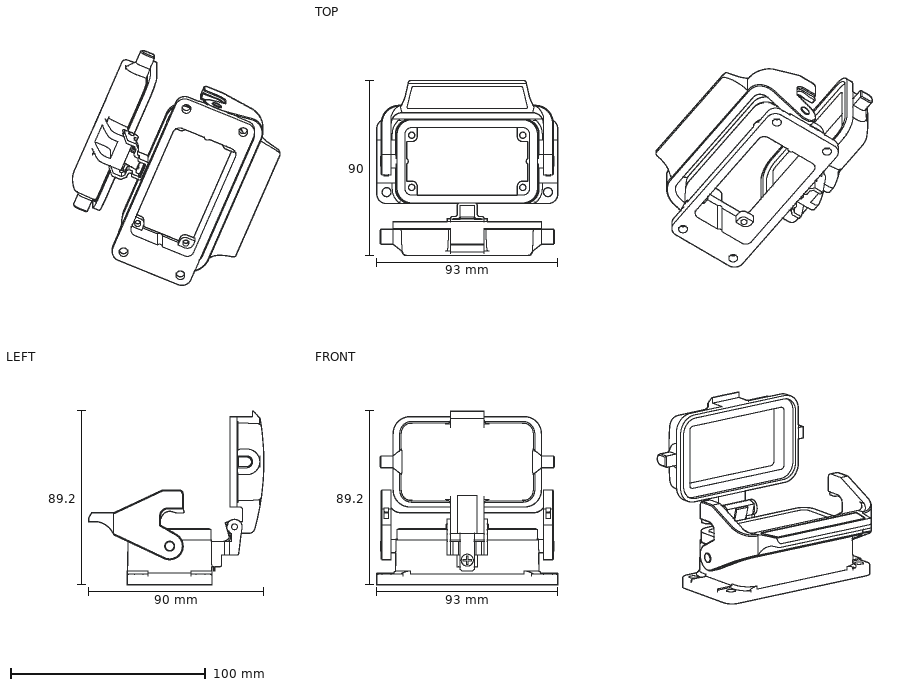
import cadquery as cq
import math

FLANGE_X = 93.0
FLANGE_Y = 43.5
FLANGE_TOP = 5.5
FLANGE_CORNER_R = 5.1
FLANGE_EDGE_R = 0.9
PAD_TOP = 6.2
PAD_HALF_Y = 11.0
PAD_EDGE_R = 0.6
FLANGE_HOLE_D = 4.5
FLANGE_HOLE_X = 41.4
FLANGE_HOLE_Y = 15.8

WALL_HALF_X = 36.9
WALL_HALF_Y = 21.7
WALL_TOP = 23.1
WALL_DRAFT = 1.0
WALL_CORNER_R = 7.7
SKIRT_TOP = 7.2
SKIRT_WIDTH = 1.6

RIM_HALF_X = 36.0
RIM_HALF_Y = 21.3
RIM_CORNER_R = 7.5
RIM_TOP = 29.0
RIM_EDGE = 28.35
RIM_WIDTH = 4.0

OPENING_HALF_X = RIM_HALF_X - RIM_WIDTH
OPENING_HALF_Y = RIM_HALF_Y - RIM_WIDTH
OPENING_CORNER_R = RIM_CORNER_R - RIM_WIDTH
LEDGE = 1.0
TAB_TOP = 20.7
TAB_THICKNESS = 5.3
TAB_HALF_X = 25.6
TAB_HALF_Y = 10.1
TAB_CORNER_R = 2.8
TAB_HOLE_D = 3.1
TAB_HOLE_X = 28.5
TAB_HOLE_Y = 13.4
KEY_R = 1.6
KEY_REACH = 30.2

PIVOT_Z = 19.9
PIVOT_PIN_D = 5.1
PIVOT_PIN_END = 44.6
PIVOT_PIN_CHAMFER = 0.3
PIVOT_BOSS_D = 7.0
ARM_INNER_X = 39.0
ARM_OUTER_X = 44.2
ARM_END_R = 7.0
ARM_EDGE_CHAMFER = 0.5
BAR_INNER_Y = 24.9
BAR_OUTER_Y = 28.8
BAR_BOTTOM = 25.9
BEND_Y = 19.4
BAR_HALF_X = ARM_INNER_X - BAR_INNER_Y + BEND_Y
HANDLE_TOP = 37.1
HANDLE_TIP_Y = 41.6
HANDLE_TIP_HALF_X = 30.0
HANDLE_ROOT_HALF_X = 34.3
HANDLE_UNDER = 32.4
HANDLE_CORNER_R = 1.6
HANDLE_RECESS = 0.3
HANDLE_RECESS_R = 0.9
ARM_TOP = 48.8
ARM_TOP_REAR_Y = 3.5
ARM_TOP_R = 2.3
HOOK_FRONT_Y = -7.0
HOOK_UNDER = 39.0
HOOK_TIP_R = 0.7
SLOT_BACK_Y = 4.7
SLOT_FOOT_Z = 30.7
LIP_UNDER = 36.8
LIP_INNER_X = 40.3
LIP_OUTER_X = 42.7

LID_BACK_Y = -30.9
LID_RIM_Y = -34.5
LID_FACE_Y = -48.4
LID_Z = 63.15
LID_RIM_HALF_X = 38.1
LID_RIM_HALF_Z = 23.25
LID_RIM_CORNER_R = 8.8
LID_BODY_HALF_X = 33.9
LID_BODY_HALF_Z = 20.0
LID_BODY_CORNER_R = 5.5
LID_BODY_DRAFT = 2.0
LID_FACE_EDGE_R = 2.2
BEAD_WIDTH = 0.75
BEAD_DEPTH = 0.5
CROWN_R = 130.0
LID_CLEARANCE = 0.2
LID_RECESS_DEPTH = 2.2
LID_WALL = 3.4

STRAP_HALF_X = 8.6
STRAP_BLEND_R = 2.5
LATCH_TOP = 89.23
LATCH_Y = -42.4
STRAP_BOTTOM = 26.4
STRAP_INNER_Y = -37.3
STRAP_POCKET_HALF_X = 4.9
STRAP_POCKET_TOP = 46.0
STRAP_POCKET_FLOOR_Y = -38.6
STRAP_POCKET_R = 4.0
TRUNNION_Y = -39.5
TRUNNION_R = 3.05
TRUNNION_CHAMFER = 0.6
TRUNNION_BACK_Y = -34.8
TRUNNION_END = 44.8
COLLAR_R = 6.9

HINGE_Y = -33.3
HINGE_Z = 29.8
HINGE_PIN_D = 3.0
HINGE_PIN_END = 10.9
HINGE_PIN_END_R = 0.55
EAR_R = 3.9
EAR_OUTER_X = 10.3
EAR_BACK_Y = -31.7
EAR_FRONT_Y = -35.4
BRACKET_TOP = 22.3
BRACKET_BOTTOM = 9.3
WING_Y = -28.2
WING_SHEET = 1.3
WING_BOTTOM = 15.3
BRACKET_CORNER_R = 1.0
CHANNEL_END_Y = -26.7
CHANNEL_HALF_X = 5.2
CHANNEL_INNER_X = 3.7
CHANNEL_BACK_Y = -21.4
CHANNEL_FLOOR_Y = -22.6
SPRING_HALF_X = 3.6
SPRING_SHEET = 0.8
SPRING_BOTTOM = 7.2
SPRING_CORNER = 0.8
SCREW_Z = 12.7
SCREW_HEAD_D = 6.2
SCREW_HEAD_FRONT_Y = -25.4
SCREW_HEAD_R = 1.0
CROSS_LENGTH = 4.4
CROSS_WIDTH = 0.9
CROSS_DEPTH = 1.0

SIDES = (-1, 1)


def plate(half_x, half_y, corner_r, bottom, top, draft=0):
    """Horizontal rounded rectangle, drafted inwards towards its top."""
    outline = cq.Sketch().rect(2 * half_x, 2 * half_y).vertices().fillet(corner_r)
    return (cq.Workplane("XY", origin=(0, 0, bottom))
            .placeSketch(outline).extrude(top - bottom, taper=draft))


def upright_plate(half_x, half_z, corner_r, back_y, front_y, draft=0):
    """Rounded rectangle facing -Y at the lid centre height."""
    outline = cq.Sketch().rect(2 * half_x, 2 * half_z).vertices().fillet(corner_r)
    return (cq.Workplane("XZ", origin=(0, back_y, LID_Z))
            .placeSketch(outline).extrude(back_y - front_y, taper=draft))


def block(x0, x1, y0, y1, z0, z1):
    """Box between two opposite corners."""
    return (cq.Workplane("XY")
            .box(abs(x1 - x0), abs(y1 - y0), abs(z1 - z0))
            .translate(((x0 + x1) / 2, (y0 + y1) / 2, (z0 + z1) / 2)))


def rod_x(diameter, x0, x1, y, z):
    """Round bar along X."""
    low, high = min(x0, x1), max(x0, x1)
    return cq.Workplane("YZ", origin=(low, y, z)).circle(diameter / 2).extrude(high - low)


def mirrored(half):
    """A shape together with its mirror image across X = 0."""
    return half.union(half.mirror("YZ"))


def housing_flange():
    flange = plate(FLANGE_X / 2, FLANGE_Y / 2, FLANGE_CORNER_R, 0, FLANGE_TOP)
    flange = flange.faces(">Z").edges().fillet(FLANGE_EDGE_R)
    pads = block(-FLANGE_X / 2, FLANGE_X / 2, -PAD_HALF_Y, PAD_HALF_Y, 0, PAD_TOP)
    pads = pads.edges("|Y and >Z").fillet(PAD_EDGE_R)
    sill_x = WALL_HALF_X - WALL_CORNER_R / 2
    sill = block(-sill_x, sill_x, -FLANGE_Y / 2, FLANGE_Y / 2, 0, FLANGE_TOP)
    return flange.union(pads).union(sill)


def housing_wall():
    wall = plate(WALL_HALF_X, WALL_HALF_Y, WALL_CORNER_R, FLANGE_TOP - 0.5, WALL_TOP, WALL_DRAFT)
    skirt_height = SKIRT_TOP - FLANGE_TOP
    skirt_angle = math.degrees(math.atan(SKIRT_WIDTH / skirt_height))
    skirt = plate(WALL_HALF_X + SKIRT_WIDTH, WALL_HALF_Y + SKIRT_WIDTH, WALL_CORNER_R + SKIRT_WIDTH,
                  FLANGE_TOP, SKIRT_TOP, skirt_angle)
    skirt = skirt.intersect(plate(FLANGE_X / 2, FLANGE_Y / 2, FLANGE_CORNER_R, 0, SKIRT_TOP))
    skirt = skirt.cut(block(-FLANGE_X, FLANGE_X, -PAD_HALF_Y, PAD_HALF_Y, 0, SKIRT_TOP))
    straight_x = WALL_HALF_X - WALL_CORNER_R
    skirt = skirt.cut(block(-straight_x, straight_x, -FLANGE_Y, FLANGE_Y, 0, SKIRT_TOP))
    rim = plate(RIM_HALF_X, RIM_HALF_Y, RIM_CORNER_R, WALL_TOP, RIM_EDGE)
    return wall.union(skirt).union(rim)


def rim_crown():
    """Shallow dome that runs along the top of the rim."""
    path_x = RIM_HALF_X - RIM_WIDTH / 2
    path_y = RIM_HALF_Y - RIM_WIDTH / 2
    path_r = RIM_CORNER_R - RIM_WIDTH / 2
    path = (cq.Workplane("XY", origin=(0, 0, RIM_EDGE))
            .moveTo(path_x, 0)
            .lineTo(path_x, path_y - path_r)
            .tangentArcPoint((path_x - path_r, path_y), relative=False)
            .lineTo(path_r - path_x, path_y)
            .tangentArcPoint((-path_x, path_y - path_r), relative=False)
            .lineTo(-path_x, path_r - path_y)
            .tangentArcPoint((path_r - path_x, -path_y), relative=False)
            .lineTo(path_x - path_r, -path_y)
            .tangentArcPoint((path_x, path_r - path_y), relative=False)
            .close())
    dome = (cq.Workplane("XZ")
            .moveTo(OPENING_HALF_X, RIM_EDGE)
            .threePointArc((path_x, RIM_TOP), (RIM_HALF_X, RIM_EDGE))
            .close())
    return dome.sweep(path)


def corner_tab(side_x, side_y):
    tab = block(side_x * TAB_HALF_X, side_x * (OPENING_HALF_X + LEDGE),
                side_y * TAB_HALF_Y, side_y * (OPENING_HALF_Y + LEDGE),
                TAB_TOP - TAB_THICKNESS, TAB_TOP)
    inner_corner = cq.selectors.NearestToPointSelector((side_x * TAB_HALF_X, side_y * TAB_HALF_Y, TAB_TOP))
    return tab.edges("|Z").edges(inner_corner).fillet(TAB_CORNER_R)


def hinge_bracket():
    channel_r = 1.4
    wing_r = 1.0
    wing_slant = 2.4
    ear_bend_y = WING_Y - wing_slant
    inner_slant = 1.4
    inner_wing_y = WING_Y - WING_SHEET
    inner_bend = 0.9
    half_plan = (cq.Workplane("XY", origin=(0, 0, BRACKET_BOTTOM))
                 .moveTo(0, CHANNEL_BACK_Y)
                 .lineTo(CHANNEL_HALF_X - channel_r, CHANNEL_BACK_Y)
                 .tangentArcPoint((CHANNEL_HALF_X, CHANNEL_BACK_Y - channel_r), relative=False)
                 .lineTo(CHANNEL_HALF_X, WING_Y + wing_r)
                 .tangentArcPoint((CHANNEL_HALF_X + wing_r, WING_Y), relative=False)
                 .lineTo(EAR_OUTER_X - wing_slant, WING_Y)
                 .lineTo(EAR_OUTER_X, ear_bend_y)
                 .lineTo(EAR_OUTER_X, EAR_BACK_Y)
                 .lineTo(STRAP_HALF_X, EAR_BACK_Y)
                 .lineTo(STRAP_HALF_X, inner_wing_y - inner_slant)
                 .lineTo(STRAP_HALF_X - inner_slant, inner_wing_y)
                 .lineTo(CHANNEL_INNER_X + inner_bend, inner_wing_y)
                 .lineTo(CHANNEL_INNER_X, inner_wing_y + inner_bend)
                 .lineTo(CHANNEL_INNER_X, CHANNEL_FLOOR_Y)
                 .lineTo(0, CHANNEL_FLOOR_Y)
                 .close().extrude(BRACKET_TOP - BRACKET_BOTTOM))
    under_wings = block(0, 2 * EAR_OUTER_X, CHANNEL_END_Y, HINGE_Y, 0, WING_BOTTOM)
    half = half_plan.cut(under_wings)
    half = half.edges("|X").edges("<Z").edges("<Y").fillet(BRACKET_CORNER_R)

    ear = (cq.Workplane("YZ", origin=(STRAP_HALF_X, 0, 0))
           .moveTo(EAR_BACK_Y, WING_BOTTOM)
           .lineTo(EAR_BACK_Y, HINGE_Z)
           .lineTo(HINGE_Y, HINGE_Z)
           .lineTo(HINGE_Y - EAR_R + 0.1, HINGE_Z - 0.7)
           .lineTo(EAR_FRONT_Y, WING_BOTTOM)
           .close().extrude(EAR_OUTER_X - STRAP_HALF_X)
           .edges("|X").edges("<Z").edges("<Y").fillet(BRACKET_CORNER_R))
    ear_end = rod_x(2 * EAR_R, STRAP_HALF_X, EAR_OUTER_X, HINGE_Y, HINGE_Z)
    return mirrored(half.union(ear).union(ear_end))


def hinge_spring():
    leg_y = CHANNEL_FLOOR_Y - SPRING_SHEET
    sheet = (cq.Workplane("YZ")
             .moveTo(CHANNEL_FLOOR_Y, SPRING_BOTTOM)
             .lineTo(CHANNEL_FLOOR_Y, 18.6)
             .threePointArc((-23.4, 20.4), (-25.2, 21.3))
             .lineTo(-29.2, 23.0)
             .threePointArc((-30.2, 23.7), (-30.45, 25.0))
             .lineTo(-28.5, 31.8)
             .lineTo(-29.3, 32.3)
             .lineTo(-31.3, 25.0)
             .threePointArc((-30.9, 23.1), (-29.5, 22.2))
             .lineTo(-25.5, 20.5)
             .threePointArc((-24.0, 19.8), (leg_y, 18.6))
             .lineTo(leg_y, SPRING_BOTTOM)
             .close().extrude(SPRING_HALF_X, both=True))
    return sheet.edges("|Y and <Z").chamfer(SPRING_CORNER)


def bracket_screw():
    head = (cq.Workplane("XZ", origin=(0, CHANNEL_FLOOR_Y, SCREW_Z))
            .circle(SCREW_HEAD_D / 2).extrude(CHANNEL_FLOOR_Y - SCREW_HEAD_FRONT_Y)
            .faces("<Y").edges().fillet(SCREW_HEAD_R))
    cross = (cq.Workplane("XZ", origin=(0, SCREW_HEAD_FRONT_Y + CROSS_DEPTH, SCREW_Z))
             .rect(CROSS_LENGTH, CROSS_WIDTH).extrude(CROSS_DEPTH))
    return head.cut(cross).cut(cross.rotate((0, 0, SCREW_Z), (0, 1, SCREW_Z), 90))


def make_housing():
    body = housing_flange().union(housing_wall())

    lower = plate(OPENING_HALF_X - LEDGE, OPENING_HALF_Y, OPENING_CORNER_R, 0, TAB_TOP)
    upper = plate(OPENING_HALF_X, OPENING_HALF_Y, OPENING_CORNER_R, TAB_TOP, RIM_EDGE)
    body = body.cut(lower).cut(upper)
    body = body.union(rim_crown())

    tab_holes = [(sx * TAB_HOLE_X, sy * TAB_HOLE_Y) for sx in SIDES for sy in SIDES]
    for side_x in SIDES:
        for side_y in SIDES:
            body = body.union(corner_tab(side_x, side_y))
        key = (cq.Workplane("XY", origin=(side_x * (KEY_REACH + KEY_R), 0, 0))
               .circle(KEY_R).extrude(TAB_TOP))
        boss = rod_x(PIVOT_BOSS_D, side_x * (RIM_HALF_X - 1), side_x * ARM_INNER_X, 0, PIVOT_Z)
        pin = rod_x(PIVOT_PIN_D, side_x * RIM_HALF_X, side_x * PIVOT_PIN_END, 0, PIVOT_Z)
        pin = pin.faces(">X" if side_x > 0 else "<X").chamfer(PIVOT_PIN_CHAMFER)
        body = body.union(key).union(boss).union(pin)
    body = body.cut(cq.Workplane("XY").pushPoints(tab_holes).circle(TAB_HOLE_D / 2).extrude(TAB_TOP))

    flange_holes = [(sx * FLANGE_HOLE_X, sy * FLANGE_HOLE_Y) for sx in SIDES for sy in SIDES]
    body = body.cut(cq.Workplane("XY").pushPoints(flange_holes)
                    .circle(FLANGE_HOLE_D / 2).extrude(SKIRT_TOP))

    bracket = hinge_bracket().cut(rod_x(HINGE_PIN_D, -EAR_OUTER_X, EAR_OUTER_X, HINGE_Y, HINGE_Z))
    return body.union(bracket).union(hinge_spring()).union(bracket_screw())


def arm_end_tangent(point, turn):
    """Where a line from a (Y, Z) point touches the rounded arm end; turn picks the side."""
    y, z = point[0], point[1] - PIVOT_Z
    angle = math.atan2(z, y) + turn * math.acos(ARM_END_R / math.hypot(y, z))
    return (ARM_END_R * math.cos(angle), PIVOT_Z + ARM_END_R * math.sin(angle))


def lever_side():
    """Arm outline seen along X, as wide as the whole lever."""
    bar_bottom = (BAR_OUTER_Y + 0.3, BAR_BOTTOM)
    slot_foot = (SLOT_BACK_Y, SLOT_FOOT_Z)
    return (cq.Workplane("YZ")
            .moveTo(*bar_bottom)
            .lineTo(*arm_end_tangent(bar_bottom, -1))
            .threePointArc((-ARM_END_R, PIVOT_Z), arm_end_tangent(slot_foot, 1))
            .lineTo(*slot_foot)
            .lineTo(SLOT_BACK_Y, 35.2)
            .threePointArc((3.5, 37.9), (0.4, HOOK_UNDER))
            .lineTo(HOOK_FRONT_Y + HOOK_TIP_R, HOOK_UNDER)
            .tangentArcPoint((HOOK_FRONT_Y, HOOK_UNDER + HOOK_TIP_R), relative=False)
            .lineTo(HOOK_FRONT_Y, ARM_TOP - ARM_TOP_R)
            .tangentArcPoint((HOOK_FRONT_Y + ARM_TOP_R, ARM_TOP), relative=False)
            .lineTo(ARM_TOP_REAR_Y, ARM_TOP)
            .lineTo(BAR_OUTER_Y + 0.3, 36.8)
            .close().extrude(ARM_OUTER_X + 1, both=True))


def lever_plan():
    """U shape seen from above, taller than the whole lever."""
    return (cq.Workplane("XY")
            .moveTo(-ARM_OUTER_X, -ARM_END_R - 1)
            .lineTo(-ARM_OUTER_X, BEND_Y)
            .tangentArcPoint((BAR_OUTER_Y - BEND_Y - ARM_OUTER_X, BAR_OUTER_Y), relative=False)
            .lineTo(ARM_OUTER_X - BAR_OUTER_Y + BEND_Y, BAR_OUTER_Y)
            .tangentArcPoint((ARM_OUTER_X, BEND_Y), relative=False)
            .lineTo(ARM_OUTER_X, -ARM_END_R - 1)
            .lineTo(ARM_INNER_X, -ARM_END_R - 1)
            .lineTo(ARM_INNER_X, BEND_Y)
            .tangentArcPoint((BAR_HALF_X, BAR_INNER_Y), relative=False)
            .lineTo(-BAR_HALF_X, BAR_INNER_Y)
            .tangentArcPoint((-ARM_INNER_X, BEND_Y), relative=False)
            .lineTo(-ARM_INNER_X, -ARM_END_R - 1)
            .close().extrude(2 * HANDLE_TOP))


def above_bar():
    """Space over the cross bar, level with the handle and rising towards the arms."""
    rise = 2.4
    clear_top = HANDLE_TOP + 4 * rise
    return (cq.Workplane("XZ", origin=(0, BAR_OUTER_Y, 0))
            .moveTo(-ARM_INNER_X, HANDLE_TOP + rise)
            .threePointArc((-37.1, HANDLE_TOP + 0.8), (-BAR_HALF_X, HANDLE_TOP))
            .lineTo(BAR_HALF_X, HANDLE_TOP)
            .threePointArc((37.1, HANDLE_TOP + 0.8), (ARM_INNER_X, HANDLE_TOP + rise))
            .lineTo(ARM_INNER_X, clear_top)
            .lineTo(-ARM_INNER_X, clear_top)
            .close().extrude(BAR_OUTER_Y - BEND_Y))


def lever_handle():
    flare_y = 33.3
    flare_x = 31.9
    plan = (cq.Workplane("XY")
            .moveTo(-HANDLE_ROOT_HALF_X, BAR_OUTER_Y - 0.9)
            .threePointArc((-32.9, 30.6), (-flare_x, flare_y))
            .lineTo(-HANDLE_TIP_HALF_X, HANDLE_TIP_Y)
            .lineTo(HANDLE_TIP_HALF_X, HANDLE_TIP_Y)
            .lineTo(flare_x, flare_y)
            .threePointArc((32.9, 30.6), (HANDLE_ROOT_HALF_X, BAR_OUTER_Y - 0.9))
            .lineTo(BAR_HALF_X, BAR_INNER_Y)
            .lineTo(-BAR_HALF_X, BAR_INNER_Y)
            .close().extrude(2 * HANDLE_TOP)
            .edges("|Z and >Y").fillet(HANDLE_CORNER_R))
    side = (cq.Workplane("YZ")
            .moveTo(BAR_INNER_Y, HANDLE_TOP)
            .lineTo(HANDLE_TIP_Y - 1.6, HANDLE_TOP)
            .lineTo(HANDLE_TIP_Y, HANDLE_TOP - 2.8)
            .lineTo(HANDLE_TIP_Y, HANDLE_UNDER)
            .lineTo(37.3, HANDLE_UNDER)
            .threePointArc((32.1, 30.2), (BAR_OUTER_Y, BAR_BOTTOM))
            .lineTo(BAR_INNER_Y, 27.9)
            .close().extrude(ARM_OUTER_X, both=True))
    return plan.intersect(side)


def handle_recess():
    rear_half_x = 31.1
    rear_y = 27.0
    tip_half_x = 28.3
    tip_y = 38.4
    return (cq.Workplane("XY", origin=(0, 0, HANDLE_TOP - HANDLE_RECESS))
            .polyline([(-rear_half_x, rear_y), (rear_half_x, rear_y),
                       (tip_half_x, tip_y), (-tip_half_x, tip_y)])
            .close().extrude(HANDLE_RECESS)
            .edges("|Z").fillet(HANDLE_RECESS_R))


def hook_lip(side_x):
    lip = (cq.Workplane("YZ", origin=(LIP_INNER_X, 0, 0))
           .moveTo(SLOT_BACK_Y + 0.5, 34.1)
           .lineTo(SLOT_BACK_Y - 0.3, 34.1)
           .threePointArc((2.6, 36.8), (-0.5, 37.7))
           .lineTo(-3.8, LIP_UNDER)
           .lineTo(HOOK_FRONT_Y, LIP_UNDER)
           .lineTo(HOOK_FRONT_Y - 0.5, LIP_UNDER + 0.5)
           .lineTo(HOOK_FRONT_Y + 0.3, HOOK_UNDER + 1.5)
           .lineTo(SLOT_BACK_Y + 0.5, HOOK_UNDER + 1.5)
           .close().extrude(LIP_OUTER_X - LIP_INNER_X))
    return lip if side_x > 0 else lip.mirror("YZ")


def make_lever():
    frame = lever_side().intersect(lever_plan())
    frame = frame.faces("<X or >X").edges().chamfer(ARM_EDGE_CHAMFER).cut(above_bar())
    lever = frame.union(lever_handle()).cut(handle_recess())
    for side_x in SIDES:
        lever = lever.union(hook_lip(side_x))
    bore = rod_x(PIVOT_PIN_D, -ARM_OUTER_X, ARM_OUTER_X, 0, PIVOT_Z)
    return lever.cut(bore)


def crown_y(z):
    """Y of the crowned lid face at a height."""
    return LID_FACE_Y + CROWN_R - math.sqrt(CROWN_R ** 2 - (z - LID_Z) ** 2)


def lid_body():
    body = upright_plate(LID_BODY_HALF_X, LID_BODY_HALF_Z, LID_BODY_CORNER_R,
                         LID_RIM_Y, LID_FACE_Y, LID_BODY_DRAFT)
    crown = rod_x(2 * CROWN_R, -LID_RIM_HALF_X, LID_RIM_HALF_X, LID_FACE_Y + CROWN_R, LID_Z)
    body = body.intersect(crown)
    front_edges = cq.selectors.BoxSelector((-50, -46.5, 0), (50, -49, 100))
    body = body.edges(front_edges).fillet(LID_FACE_EDGE_R)
    rim = upright_plate(LID_RIM_HALF_X, LID_RIM_HALF_Z, LID_RIM_CORNER_R, LID_BACK_Y, LID_RIM_Y)
    bead = upright_plate(LID_BODY_HALF_X + BEAD_WIDTH, LID_BODY_HALF_Z + BEAD_WIDTH,
                         LID_BODY_CORNER_R + BEAD_WIDTH, LID_RIM_Y, LID_RIM_Y - BEAD_DEPTH)
    return body.union(rim).union(bead)


def lid_strap():
    rim_top = LID_Z + LID_RIM_HALF_Z
    rim_bottom = LID_Z - LID_RIM_HALF_Z
    latch_foot = 85.4
    toe = 28.9
    strap = (cq.Workplane("YZ")
             .moveTo(LID_BACK_Y - 1, rim_top)
             .lineTo(LATCH_Y, rim_top)
             .lineTo(LATCH_Y, LATCH_TOP)
             .lineTo(LATCH_Y - 0.6, LATCH_TOP)
             .lineTo(crown_y(latch_foot), latch_foot)
             .threePointArc((LID_FACE_Y, LID_Z), (crown_y(toe), toe))
             .threePointArc((-42.7, 27.2), (-41.1, STRAP_BOTTOM))
             .lineTo(STRAP_INNER_Y, STRAP_BOTTOM)
             .lineTo(STRAP_INNER_Y, rim_bottom - 1.2)
             .tangentArcPoint((STRAP_INNER_Y + 1.2, rim_bottom), relative=False)
             .lineTo(LID_BACK_Y - 1, rim_bottom)
             .close().extrude(STRAP_HALF_X, both=True))
    pocket = (block(-STRAP_POCKET_HALF_X, STRAP_POCKET_HALF_X,
                    STRAP_POCKET_FLOOR_Y, 2 * STRAP_POCKET_FLOOR_Y, 0, STRAP_POCKET_TOP)
              .edges("|X and >Y and >Z").fillet(STRAP_POCKET_R))
    lug = (cq.Workplane("YZ")
           .moveTo(-29.7, 32.4)
           .lineTo(HINGE_Y + 1.6, HINGE_Z + 3.4)
           .threePointArc((HINGE_Y, HINGE_Z + EAR_R - 0.1), (HINGE_Y - 2.8, HINGE_Z + 2.7))
           .lineTo(STRAP_INNER_Y - 0.5, HINGE_Z + 2.7)
           .lineTo(STRAP_INNER_Y - 0.5, STRAP_BOTTOM)
           .lineTo(-31.2, STRAP_BOTTOM)
           .close().extrude(STRAP_HALF_X, both=True))
    pin = rod_x(HINGE_PIN_D, -HINGE_PIN_END, HINGE_PIN_END, HINGE_Y, HINGE_Z)
    pin = pin.faces("<X or >X").edges().fillet(HINGE_PIN_END_R)
    return strap, pocket, lug.union(pin)


def strap_blends():
    """Concave fillets where the strap leaves the upper and lower body walls."""
    depth = LID_RIM_Y - crown_y(LID_Z + LID_BODY_HALF_Z)
    blends = None
    r = STRAP_BLEND_R
    bulge = r * (1 - math.sqrt(0.5))
    for side_x in SIDES:
        for side_z in SIDES:
            x = side_x * STRAP_HALF_X
            z = side_z * (LID_BODY_HALF_Z - 0.6)
            blend = (cq.Workplane("XZ", origin=(0, LID_RIM_Y, LID_Z))
                     .moveTo(x, z)
                     .lineTo(x + side_x * r, z)
                     .threePointArc((x + side_x * bulge, z + side_z * bulge), (x, z + side_z * r))
                     .close().extrude(depth - 0.8))
            blends = blend if blends is None else blends.union(blend)
    return blends


def trunnion_outline(plane, r):
    """D shape, flat towards the rim and round towards the face."""
    return (plane.moveTo(TRUNNION_BACK_Y, LID_Z - r)
            .lineTo(TRUNNION_Y, LID_Z - r)
            .threePointArc((TRUNNION_Y - r, LID_Z), (TRUNNION_Y, LID_Z + r))
            .lineTo(TRUNNION_BACK_Y, LID_Z + r)
            .close())


def trunnion():
    root_x = LID_BODY_HALF_X - 1.6
    lug = trunnion_outline(cq.Workplane("YZ", origin=(root_x, 0, 0)), TRUNNION_R)
    lug = lug.extrude(TRUNNION_END - root_x).faces(">X").edges().chamfer(TRUNNION_CHAMFER)
    collar = trunnion_outline(cq.Workplane("YZ", origin=(root_x, 0, 0)), COLLAR_R + 0.8)
    collar = trunnion_outline(collar.workplane(offset=LID_RIM_HALF_X - root_x), TRUNNION_R)
    return mirrored(lug.union(collar.loft(ruled=True)))


def make_lid():
    strap, pocket, hinge = lid_strap()
    lid = lid_body().union(trunnion()).union(strap).union(strap_blends())

    recess = upright_plate(RIM_HALF_X + LID_CLEARANCE, RIM_HALF_Y + LID_CLEARANCE,
                           RIM_CORNER_R + LID_CLEARANCE, LID_BACK_Y, LID_BACK_Y - LID_RECESS_DEPTH)
    hollow = upright_plate(LID_BODY_HALF_X - LID_WALL, LID_BODY_HALF_Z - LID_WALL,
                           LID_BODY_CORNER_R - LID_WALL, LID_BACK_Y, LID_FACE_Y + 2 * LID_WALL)
    return lid.cut(recess).cut(hollow).cut(pocket).union(hinge)


housing = make_housing()
lever = make_lever()
lid = make_lid()

result = cq.Compound.makeCompound([body.solids().val() for body in (housing, lever, lid)])